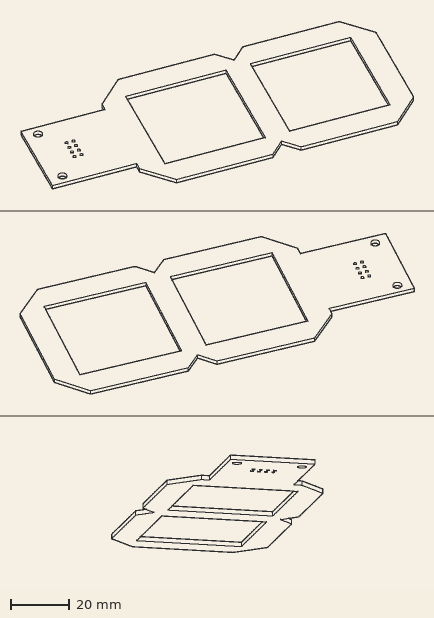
import cadquery as cq

total_length = 132.3
thickness = 1.6

frame_size = 55.2
frame_pitch = 46.0
window_size = 37.0
corner_cut = 9.8

tab_width = 29.9

mount_diameter = 3.0
mount_spacing = 23.0
mount_edge_distance = 5.0

pin_diameter = 1.0
pin_pitch = 2.5
pin_columns = 4
pin_rows = 2
pin_first_row_distance = 12.5

tab_end_y = -total_length / 2
upper_frame_y = total_length / 2 - frame_size / 2
lower_frame_y = upper_frame_y - frame_pitch
frame_centers = [(0, upper_frame_y), (0, lower_frame_y)]


def frame_blank(center):
    """Solid square plate with its four corners cut at 45 degrees."""
    blank = cq.Workplane("XY").center(*center).rect(frame_size, frame_size).extrude(thickness)
    return blank.edges("|Z").chamfer(corner_cut)


def tab():
    """Rectangular tab reaching from the lower frame's centre to the plate end."""
    length = lower_frame_y - tab_end_y
    center_y = tab_end_y + length / 2
    return cq.Workplane("XY").center(0, center_y).rect(tab_width, length).extrude(thickness)


def windows():
    """Square openings through both frames."""
    return cq.Workplane("XY").pushPoints(frame_centers).rect(window_size, window_size).extrude(thickness)


def mount_holes():
    """Pair of through holes beside the tab's end."""
    points = [(side * mount_spacing / 2, tab_end_y + mount_edge_distance) for side in (-1, 1)]
    return cq.Workplane("XY").pushPoints(points).circle(mount_diameter / 2).extrude(thickness)


def pin_holes():
    """Grid of small through holes for the pin header."""
    grid_center_y = tab_end_y + pin_first_row_distance + (pin_rows - 1) * pin_pitch / 2
    grid = cq.Workplane("XY").center(0, grid_center_y).rarray(pin_pitch, pin_pitch, pin_columns, pin_rows)
    return grid.circle(pin_diameter / 2).extrude(thickness)


plate = tab()
for frame_center in frame_centers:
    plate = plate.union(frame_blank(frame_center))

result = plate.cut(windows()).cut(mount_holes()).cut(pin_holes())